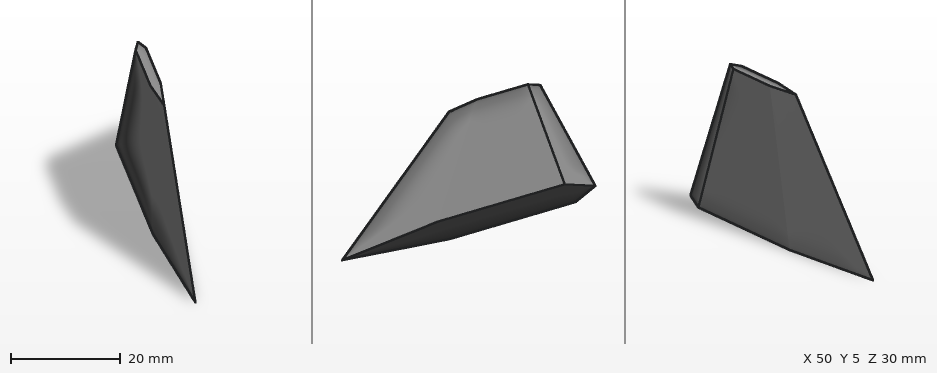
import cadquery as cq

root_chord = 50.0
root_thickness = 5.0
root_front_bevel = 5.0
root_rear_bevel = 20.0

tip_chord = 18.0
tip_thickness = 2.0
tip_front_bevel = 2.0
tip_rear_bevel = 6.0

span = 30.0
tip_sweep = 10.9


def section_points(lead_x, chord, thickness, front_bevel, rear_bevel):
    """Flat-sided hexagon with sharp leading and trailing edges on the X axis."""
    trail_x = lead_x + chord
    flat_start = lead_x + front_bevel
    flat_end = trail_x - rear_bevel
    half = thickness / 2
    return [
        (lead_x, 0),
        (flat_start, -half),
        (flat_end, -half),
        (trail_x, 0),
        (flat_end, half),
        (flat_start, half),
    ]


root_points = section_points(0, root_chord, root_thickness, root_front_bevel, root_rear_bevel)
tip_points = section_points(tip_sweep, tip_chord, tip_thickness, tip_front_bevel, tip_rear_bevel)

result = (
    cq.Workplane("XY")
    .polyline(root_points)
    .close()
    .workplane(offset=span)
    .polyline(tip_points)
    .close()
    .loft(ruled=True)
)